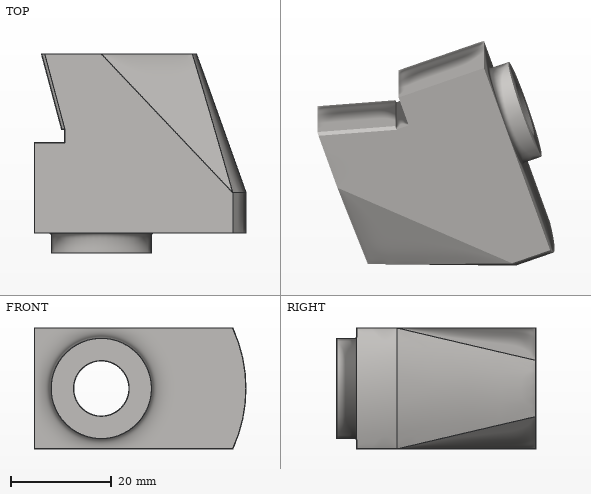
import cadquery as cq
import math

length = 42.2
depth = 35.75
height = 24.15
half_height = height / 2

axis_x = 13.35
boss_diameter = 20.0
boss_length = 3.95
bore_diameter = 11.0
boss_fillet = 0.35

end_radius = length - axis_x
cone_start_y = 8.05
cone_angle = 19.6
back_radius = end_radius - (depth - cone_start_y) * math.tan(math.radians(cone_angle))

notch_start_y = 18.05
notch_end_y = 20.67
notch_wall_x = 6.05
flank_back_x = 1.4
flank_angle = 15.0
flank_chamfer = 0.65

facet_drop = 6.45


def make_slab(left_x, front_y, back_y):
    """Full-height box from left_x to the right end, between two Y positions."""
    size_x = length - left_x
    size_y = back_y - front_y
    return cq.Workplane("XY").box(size_x, size_y, height, centered=(False, False, True)).translate(
        (left_x, front_y, 0)
    )


def make_rear():
    """Rear of the block, whose sloping left flank has chamfered long edges."""
    flank_front_x = flank_back_x + (depth - notch_end_y) * math.tan(math.radians(flank_angle))
    rear = (
        cq.Workplane("XY")
        .workplane(offset=-half_height)
        .moveTo(flank_front_x, notch_end_y)
        .lineTo(length, notch_end_y)
        .lineTo(length, depth)
        .lineTo(flank_back_x, depth)
        .close()
        .extrude(height)
    )
    flank_middle_x = (flank_back_x + flank_front_x) / 2
    flank_middle_y = (depth + notch_end_y) / 2
    for z in (-half_height, half_height):
        nearest = cq.selectors.NearestToPointSelector((flank_middle_x, flank_middle_y, z))
        rear = rear.edges(nearest).chamfer(flank_chamfer)
    return rear


def make_block():
    """Block with the left side notched and its rear flank sloped."""
    front = make_slab(0, 0, notch_start_y)
    neck = make_slab(notch_wall_x, notch_start_y, notch_end_y)
    return front.union(neck).union(make_rear()).clean()


def make_end_envelope():
    """Solid of revolution about the bore axis that rounds and tapers the right end."""
    return (
        cq.Workplane("XY")
        .moveTo(axis_x, 0)
        .lineTo(length, 0)
        .lineTo(length, cone_start_y)
        .lineTo(axis_x + back_radius, depth)
        .lineTo(axis_x, depth)
        .close()
        .revolve(360, (axis_x, 0, 0), (axis_x, 1, 0))
    )


def make_upper_facet_cutter():
    """Wedge above the plane that cuts the upper back right corner."""
    chord = math.sqrt(end_radius**2 - half_height**2)
    facet_front = cq.Vector(axis_x + chord, cone_start_y, half_height)
    facet_back = cq.Vector(axis_x, depth, half_height)
    back_half_height = half_height - facet_drop
    low_x = axis_x + math.sqrt(back_radius**2 - back_half_height**2)
    facet_low = cq.Vector(low_x, depth, back_half_height)
    edge = facet_back - facet_front
    normal = (facet_low - facet_front).cross(edge)
    plane = cq.Plane(origin=facet_front, xDir=edge, normal=normal)
    cutter_width = 4 * length
    return cq.Workplane(plane).rect(cutter_width, cutter_width).extrude(length)


def add_boss(body):
    """Front boss blended into the block, with a bore right through the part."""
    front = cq.Workplane("XZ", origin=(axis_x, 0, 0))
    boss = front.circle(boss_diameter / 2).extrude(boss_length)
    bore = front.workplane(offset=boss_length).circle(bore_diameter / 2).extrude(-(boss_length + depth))
    root = cq.selectors.NearestToPointSelector((axis_x, 0, 0))
    return body.union(boss).edges(root).fillet(boss_fillet).cut(bore)


body = make_block().intersect(make_end_envelope())
upper_cutter = make_upper_facet_cutter()
body = body.cut(upper_cutter).cut(upper_cutter.mirror("XY"))
result = add_boss(body)